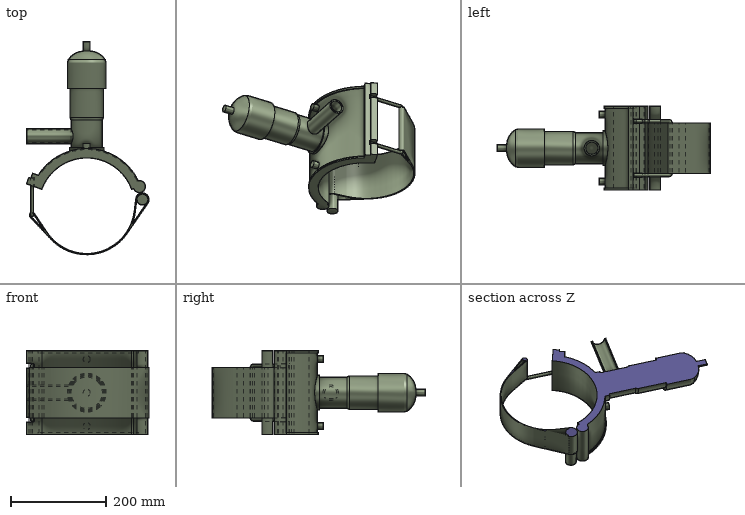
import cadquery as cq
import math


bore_radius = 100.0
saddle_radius = 120.2
saddle_height = 176.0
saddle_end_angle = 20.0
rim_width = 4.5
rim_step = 2.2
roll_diameter = 25.5
roll_distance = 117.5
block_reach = 134.5
block_thickness = 14.5
shoulder_reach = 130.0
shoulder_thickness = 25.5
slot_width = 10.0
slot_floor_x = -109.0
slot_top_y = 59.5
peg_diameter = 14.8
peg_top_y = 130.5
peg_z = 70.0

flange_diameter = 73.5
flange_top_y = 122.5
stem_diameter = 65.5
cone_bottom_y = 179.5
cone_top_y = 185.0
sleeve_diameter = 70.5
cap_bottom_y = 245.5
cap_diameter = 81.5
cap_shoulder_y = 299.5
dome_bottom_y = 306.0
dome_bottom_radius = 39.0
dome_middle_y = 319.0
dome_middle_radius = 25.5
dome_top_y = 324.5
spindle_diameter = 14.8
spindle_top_y = 344.0
outlet_diameter = 32.0
outlet_bore_diameter = 25.5
outlet_y = 145.5
outlet_end_x = -126.0

strap_thickness = 2.5
strap_width = 106.5
pin_diameter = 23.0
pin_center = (116.5, 13.0)
wire_diameter = 6.5
bail_center = (-114.5, -19.5)
bail_top_y = 57.5
bend_radius = 3.5

strap_outer_radius = bore_radius + strap_thickness


def polar(radius, angle, center=(0, 0)):
    """Point at a radius and an angle in degrees about a center."""
    turn = math.radians(angle)
    return (center[0] + radius * math.cos(turn), center[1] + radius * math.sin(turn))


def rod_z(diameter, height, center=(0, 0)):
    """Cylinder along Z, centered on the XY plane."""
    return cq.Workplane("XY").center(*center).circle(diameter / 2).extrude(height / 2, both=True)


def rod_y(diameter, bottom_y, top_y, x=0, z=0):
    """Cylinder along Y between two levels."""
    base = cq.Workplane("XZ", origin=(x, bottom_y, z))
    return base.circle(diameter / 2).extrude(bottom_y - top_y)


def arc_band(inner_radius, outer_radius, start_angle, end_angle, height, center=(0, 0)):
    """Part ring between two angles, centered on the XY plane."""
    middle_angle = (start_angle + end_angle) / 2
    return (
        cq.Workplane("XY")
        .moveTo(*polar(inner_radius, start_angle, center))
        .lineTo(*polar(outer_radius, start_angle, center))
        .threePointArc(
            polar(outer_radius, middle_angle, center), polar(outer_radius, end_angle, center)
        )
        .lineTo(*polar(inner_radius, end_angle, center))
        .threePointArc(
            polar(inner_radius, middle_angle, center), polar(inner_radius, start_angle, center)
        )
        .close()
        .extrude(height / 2, both=True)
    )


def saddle_arc(outer_radius, height):
    """Part ring above the pipe, between the two radial end faces."""
    return arc_band(bore_radius, outer_radius, saddle_end_angle, 180 - saddle_end_angle, height)


def make_latch_block():
    """Stepped block standing on the left end face, with a slot for each bail leg."""
    inner_reach = (bore_radius + saddle_radius) / 2
    block = (
        cq.Workplane("XY")
        .polyline([
            (-inner_reach, 0),
            (-block_reach, 0),
            (-block_reach, block_thickness),
            (-shoulder_reach, block_thickness),
            (-shoulder_reach, shoulder_thickness),
            (-inner_reach, shoulder_thickness),
        ])
        .close()
        .extrude(saddle_height / 2, both=True)
    )
    return block.rotate((0, 0, 0), (0, 0, 1), -saddle_end_angle)


def make_bail_slot(z):
    """Slot open to -X and -Y, with a round floor."""
    floor_center_x = slot_floor_x - slot_width / 2
    length = block_reach + floor_center_x
    depth = slot_top_y
    channel = cq.Workplane("XY").box(length, depth, slot_width, centered=(False, False, True))
    channel = channel.translate((-block_reach, 0, z))
    return channel.union(rod_y(slot_width, 0, slot_top_y, floor_center_x, z))


def make_tower():
    """Turned tower: flange, stem, sleeve, domed cap and spindle."""
    profile = (
        cq.Workplane("XY")
        .lineTo(flange_diameter / 2, 0)
        .lineTo(flange_diameter / 2, flange_top_y)
        .lineTo(stem_diameter / 2, flange_top_y)
        .lineTo(stem_diameter / 2, cone_bottom_y)
        .lineTo(sleeve_diameter / 2, cone_top_y)
        .lineTo(sleeve_diameter / 2, cap_bottom_y)
        .lineTo(cap_diameter / 2, cap_bottom_y)
        .lineTo(cap_diameter / 2, cap_shoulder_y)
        .lineTo(dome_bottom_radius, dome_bottom_y)
        .threePointArc(
            (dome_middle_radius, dome_middle_y), (spindle_diameter / 2, dome_top_y)
        )
        .lineTo(spindle_diameter / 2, spindle_top_y)
        .lineTo(0, spindle_top_y)
        .close()
    )
    tower = profile.revolve(360, (0, 0, 0), (0, 1, 0))
    return tower.cut(rod_z(2 * bore_radius, saddle_height))


def make_outlet(diameter, inner_x):
    """Cylinder along X from the outlet mouth to inner_x."""
    mouth = cq.Workplane("YZ", origin=(outlet_end_x, outlet_y, 0))
    return mouth.circle(diameter / 2).extrude(inner_x - outlet_end_x)


def make_saddle():
    saddle = saddle_arc(saddle_radius - rim_step, saddle_height)
    rim = saddle_arc(saddle_radius, rim_width)
    rim_z = (saddle_height - rim_width) / 2
    slot_z = (strap_width + wire_diameter) / 2
    for side in (-1, 1):
        saddle = saddle.union(rim.translate((0, 0, side * rim_z)))
    saddle = saddle.union(rod_z(roll_diameter, saddle_height, polar(roll_distance, saddle_end_angle)))
    saddle = saddle.union(make_latch_block())
    peg_bottom_y = (bore_radius + saddle_radius) / 2
    for side in (-1, 1):
        saddle = saddle.cut(make_bail_slot(side * slot_z))
        saddle = saddle.union(rod_y(peg_diameter, peg_bottom_y, peg_top_y, z=side * peg_z))
    saddle = saddle.union(make_tower()).union(make_outlet(outlet_diameter, 0))
    return saddle.cut(make_outlet(outlet_bore_diameter, -stem_diameter / 2))


def tangent_angles(center, core_radius, side):
    """Angles where the outer and inner strap legs leave the clamp circle and the loop.

    The outer leg is an outside tangent of both circles; the inner leg crosses
    between them. side is 1 for a loop on the right, -1 for one on the left.
    """
    distance = math.hypot(*center)
    heading = math.degrees(math.atan2(center[1], center[0]))
    outer_turn = math.degrees(math.acos((bore_radius - core_radius) / distance))
    crossing_radii = strap_outer_radius + core_radius
    inner_turn = math.degrees(math.acos(crossing_radii / distance))
    return heading - side * outer_turn, heading - side * inner_turn


def strap_leg(corners):
    """Straight stretch of strap with the given four corners."""
    return cq.Workplane("XY").polyline(corners).close().extrude(strap_width / 2, both=True)


def make_loop(center, core_diameter, side):
    """Strap end wrapped round a core, with its two straight legs."""
    core_radius = core_diameter / 2
    loop_radius = core_radius + strap_thickness
    outer_angle, inner_angle = tangent_angles(center, core_radius, side)
    inner_leave_angle = inner_angle + 180
    sweep = side * (inner_leave_angle - outer_angle) % 360
    outer_leg = strap_leg([
        polar(bore_radius, outer_angle),
        polar(strap_outer_radius, outer_angle),
        polar(loop_radius, outer_angle, center),
        polar(core_radius, outer_angle, center),
    ])
    inner_leg = strap_leg([
        polar(bore_radius, inner_angle),
        polar(strap_outer_radius, inner_angle),
        polar(core_radius, inner_leave_angle, center),
        polar(loop_radius, inner_leave_angle, center),
    ])
    wrap_end_angle = outer_angle + side * sweep
    wrap = arc_band(core_radius, loop_radius, outer_angle, wrap_end_angle, strap_width, center)
    return wrap.union(outer_leg).union(inner_leg)


def make_band():
    """Thin arc below the pipe, between the tangent points of the two inner legs."""
    right_angle = tangent_angles(pin_center, pin_diameter / 2, 1)[1]
    left_angle = tangent_angles(bail_center, wire_diameter / 2, -1)[1]
    return arc_band(bore_radius, strap_outer_radius, left_angle, right_angle, strap_width)


def make_bail_elbow(z):
    """Quarter bend from the cross bar, below its top end, to the leg at height z."""
    x, y = bail_center
    return (
        cq.Workplane("XZ", origin=(x, y + bend_radius, z))
        .circle(wire_diameter / 2)
        .revolve(90, (0, -bend_radius, 0), (1, -bend_radius, 0))
    )


def make_bail():
    """Wire cross bar bent into a leg at each end."""
    x, y = bail_center
    leg_spacing = strap_width + wire_diameter
    leg_z = leg_spacing / 2
    elbow = make_bail_elbow(leg_z)
    bail = rod_z(wire_diameter, leg_spacing - 2 * bend_radius, bail_center)
    for bend, side in ((elbow, 1), (elbow.mirror("XY"), -1)):
        leg = rod_y(wire_diameter, y + bend_radius, bail_top_y, x, side * leg_z)
        bail = bail.union(bend).union(leg)
    return bail


def make_strap():
    strap = make_band()
    strap = strap.union(make_loop(pin_center, pin_diameter, 1))
    strap = strap.union(make_loop(bail_center, wire_diameter, -1))
    strap = strap.union(rod_z(pin_diameter, saddle_height, pin_center))
    return strap.union(make_bail())


saddle = make_saddle()
strap = make_strap()
result = cq.Compound.makeCompound([saddle.val(), strap.val()])